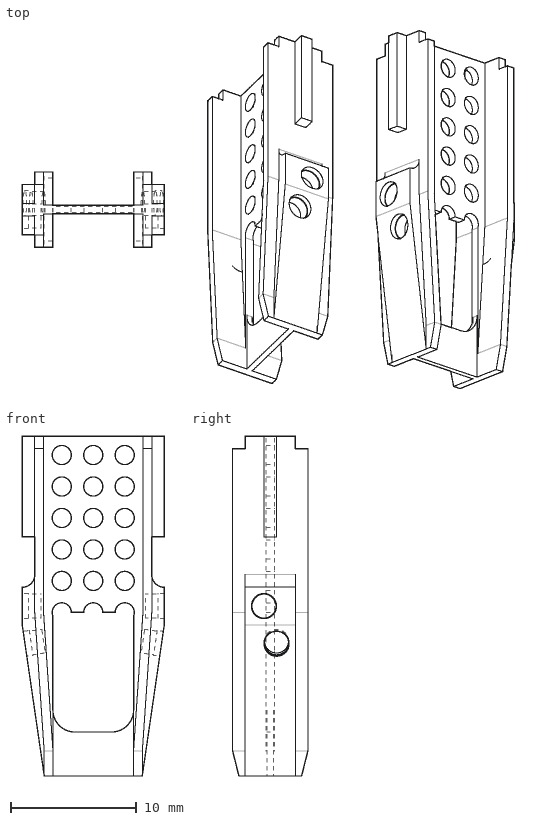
import cadquery as cq
import math

height = 27.0
overall_width = 11.3
half_width = overall_width / 2

plate_depth = 6.0
plate_thickness = 0.7
side_projection = 1.0
plate_outer = half_width - side_projection
plate_lean_top = 13.0
foot_height = 2.0
foot_inset = 0.75
foot_outer = plate_outer - foot_inset
foot_taper = 0.5
notch = 1.0

web_thickness = 0.7
hole_diameter = 1.5
hole_pitch = 2.5
hole_columns = 3
hole_rows = 6
top_hole_inset = 1.5

window_half_width = foot_outer - plate_thickness
window_top = height - top_hole_inset - (hole_rows - 1) * hole_pitch

panel_thickness = 0.5
panel_height = 3.5
panel_corner_radius = 1.75

rail_width = 1.0
rail_length = 8.0

pad_depth = 4.0
pad_shoulder = 15.0
pad_lean_top = 12.0
pad_cove_radius = side_projection

mouth_diameter = 2.0
mouth_depth = 0.5
bore_diameter = 1.9
bore_depth = 1.5
bore_offset = 0.5
upper_bore_height = 13.5
lower_bore_height = 10.5
pad_lean_run = half_width - foot_outer
pad_lean_angle = math.atan2(pad_lean_run, pad_lean_top)


def box_between(x_range, y_range, z_range):
    """Box from its limits along each axis."""
    sizes = [high - low for low, high in (x_range, y_range, z_range)]
    corner = (x_range[0], y_range[0], z_range[0])
    return cq.Workplane("XY").box(*sizes, centered=False).translate(corner)


def extrude_through_y(profile, depth):
    """Extrude a closed XZ profile to a depth centred on Y = 0."""
    return profile.extrude(depth / 2, both=True)


def plate_edge_envelope():
    """Side outline of a plate in YZ, with the top notches and the tapered foot."""
    half = plate_depth / 2
    half_outline = [
        (half - foot_taper, 0),
        (half, foot_height),
        (half, height - notch),
        (half - notch, height - notch),
        (half - notch, height),
    ]
    mirrored = [(-y, z) for y, z in reversed(half_outline)]
    outline = cq.Workplane("YZ").polyline(half_outline + mirrored).close()
    return outline.extrude(half_width, both=True)


def left_plate():
    outer_edge = [
        (-foot_outer, 0),
        (-foot_outer, foot_height),
        (-plate_outer, plate_lean_top),
        (-plate_outer, height),
    ]
    inner_edge = [(x + plate_thickness, z) for x, z in reversed(outer_edge)]
    profile = cq.Workplane("XZ").polyline(outer_edge + inner_edge).close()
    return extrude_through_y(profile, plate_depth).intersect(plate_edge_envelope())


def left_rail():
    return box_between(
        (-half_width, -plate_outer),
        (-rail_width / 2, rail_width / 2),
        (height - rail_length, height),
    )


def left_pad():
    """Pad with a concave cove on top and an outer face leaning in to the foot."""
    cove_top = pad_shoulder + pad_cove_radius
    cove_reach = pad_cove_radius * math.sqrt(0.5)
    cove_middle = (-half_width + cove_reach, cove_top - cove_reach)
    profile = (
        cq.Workplane("XZ")
        .moveTo(-foot_outer, 0)
        .lineTo(-half_width, pad_lean_top)
        .lineTo(-half_width, pad_shoulder)
        .threePointArc(cove_middle, (-plate_outer, cove_top))
        .lineTo(-plate_outer, plate_lean_top)
        .lineTo(-foot_outer, foot_height)
        .close()
    )
    return extrude_through_y(profile, pad_depth)


def stepped_bore(mouth_centre, direction):
    """Cutter for a blind hole with a slightly wider mouth, sunk along a direction."""
    centre = cq.Vector(*mouth_centre)
    axis = cq.Vector(*direction)
    bore = cq.Solid.makeCylinder(bore_diameter / 2, bore_depth, centre, axis)
    mouth_start = centre - axis * mouth_depth
    mouth = cq.Solid.makeCylinder(mouth_diameter / 2, 2 * mouth_depth, mouth_start, axis)
    return cq.Workplane(bore.fuse(mouth))


def left_bores():
    """One hole square to each of the two faces of the pad."""
    lower_inset = (pad_lean_top - lower_bore_height) * math.tan(pad_lean_angle)
    upper_mouth = (-half_width, -bore_offset, upper_bore_height)
    lower_mouth = (-half_width + lower_inset, bore_offset, lower_bore_height)
    lower_direction = (math.cos(pad_lean_angle), 0, math.sin(pad_lean_angle))
    upper_bore = stepped_bore(upper_mouth, (1, 0, 0))
    return upper_bore.union(stepped_bore(lower_mouth, lower_direction))


def web():
    """Thin wall between the middles of the two plates."""
    foot_middle = foot_outer - plate_thickness / 2
    top_middle = plate_outer - plate_thickness / 2
    right_edge = [
        (foot_middle, 0),
        (foot_middle, foot_height),
        (top_middle, plate_lean_top),
        (top_middle, height),
    ]
    left_edge = [(-x, z) for x, z in reversed(right_edge)]
    profile = cq.Workplane("XZ").polyline(right_edge + left_edge).close()
    return extrude_through_y(profile, web_thickness)


def web_holes():
    centres = []
    for row in range(hole_rows):
        z = height - top_hole_inset - row * hole_pitch
        for column in range(hole_columns):
            x = (column - (hole_columns - 1) / 2) * hole_pitch
            centres.append((x, z))
    profile = cq.Workplane("XZ").pushPoints(centres).circle(hole_diameter / 2)
    return extrude_through_y(profile, web_thickness)


def web_window():
    """Rectangular opening from the lowest hole row down to the bottom end."""
    return box_between(
        (-window_half_width, window_half_width),
        (-web_thickness / 2, web_thickness / 2),
        (0, window_top),
    )


def foot_panel():
    """Thinner wall closing the lower part of the window, with rounded inner corners."""
    x_range = (-window_half_width, window_half_width)
    y_range = (-panel_thickness / 2, panel_thickness / 2)
    panel = box_between(x_range, y_range, (0, window_top))
    opening = box_between(x_range, y_range, (panel_height, window_top))
    return panel.cut(opening.edges("|Y and <Z").fillet(panel_corner_radius))


perforated_web = web().cut(web_holes()).cut(web_window())
left_side = left_plate().union(left_rail()).union(left_pad())
body = perforated_web.union(foot_panel()).union(left_side).union(left_side.mirror("YZ"))
result = body.cut(left_bores()).cut(left_bores().mirror("YZ"))